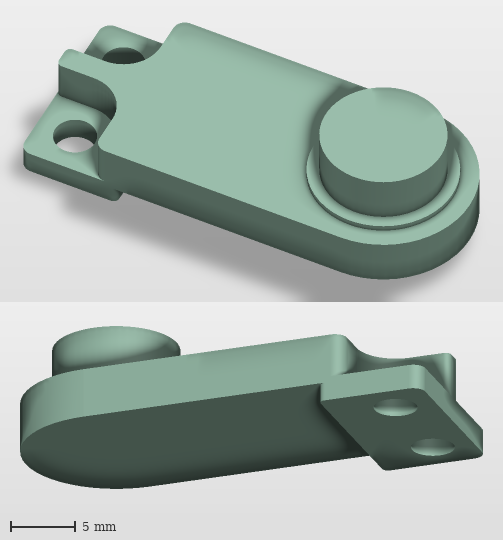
import cadquery as cq

length = 35.5
width = 15.0
height = 10.0
end_radius = width / 2
end_center_x = length - end_radius

body_bottom = 1.5
body_thickness = 4.0
body_top = body_bottom + body_thickness
flange_thickness = 0.5
flange_top = body_top + flange_thickness

button_diameter = 10.0
flange_diameter = 12.0

plate_length = 8.5
plate_thickness = 2.0
corner_radius = 1.0
small_radius = 0.5
hole_diameter = 3.45
hole_x = 3.25
hole_y = 4.25

shoulder_x = 6.5
rib_width = 2.0
relief_radius = shoulder_x - hole_x


def make_plate():
    """Plate under the rear of the body, with two screw holes."""
    plate = cq.Workplane("XY").box(plate_length, width, plate_thickness, centered=(False, True, False))
    plate = plate.edges("|Z and <X").fillet(corner_radius)
    plate = plate.edges("|Z and >X").fillet(small_radius)
    holes = (
        cq.Workplane("XY")
        .pushPoints([(hole_x, -hole_y), (hole_x, hole_y)])
        .circle(hole_diameter / 2)
        .extrude(plate_thickness)
    )
    return plate.cut(holes)


def make_body():
    """Round-ended body whose narrow rib reaches back between the screw holes."""
    body = (
        cq.Workplane("XY", origin=(0, 0, body_bottom))
        .moveTo(shoulder_x, -width / 2)
        .lineTo(end_center_x, -width / 2)
        .threePointArc((length, 0), (end_center_x, width / 2))
        .lineTo(shoulder_x, width / 2)
        .close()
        .extrude(body_thickness)
        .edges("|Z and <X")
        .fillet(corner_radius)
    )
    rib = cq.Workplane("XY", origin=(0, 0, body_bottom)).box(
        end_center_x, rib_width, body_thickness, centered=(False, True, False)
    )
    rib = rib.edges("|Z and <X").fillet(small_radius)
    inner_corners = cq.selectors.BoxSelector(
        (shoulder_x - small_radius, -rib_width, body_bottom),
        (shoulder_x + small_radius, rib_width, body_top),
    )
    return body.union(rib).edges("|Z").edges(inner_corners).fillet(relief_radius)


def make_disc(diameter, bottom, top):
    """Disc concentric with the rounded end of the body."""
    return cq.Workplane("XY", origin=(end_center_x, 0, bottom)).circle(diameter / 2).extrude(top - bottom)


flange = make_disc(flange_diameter, body_top, flange_top)
button = make_disc(button_diameter, flange_top, height)
result = make_plate().union(make_body()).union(flange).union(button)